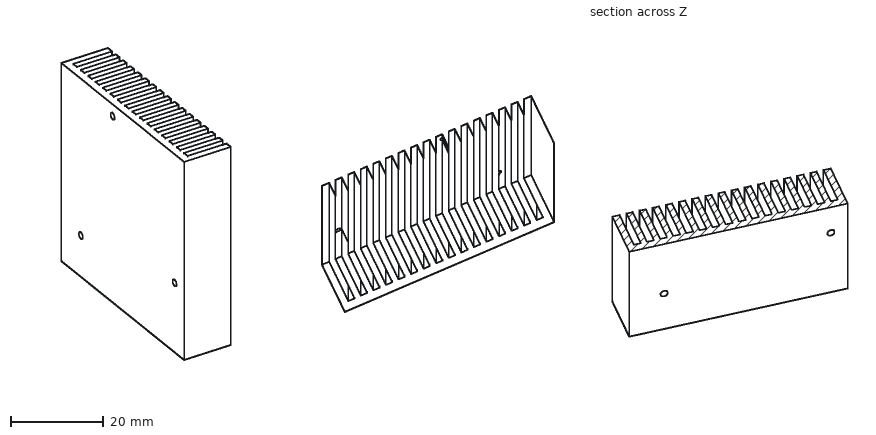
import cadquery as cq

width = 50.0
height = 50.0
depth = 12.0

base_thickness = 2.0
groove_count = 16
groove_width = 1.5
fin_pitch = 3.0

hole_diameter = 1.6
hole_centres = [(-4.1, 22.0), (21.1, -7.45), (-17.0, -14.55)]


def make_block():
    """Solid block with its mounting face at y = 0."""
    return cq.Workplane("XY").box(width, depth, height, centered=(True, False, True))


def make_grooves():
    """Evenly pitched grooves, open at the back and running the full height."""
    groove_depth = depth - base_thickness
    first_x = -fin_pitch * (groove_count - 1) / 2
    centres = [(first_x + i * fin_pitch, base_thickness + groove_depth / 2) for i in range(groove_count)]
    return (
        cq.Workplane("XY")
        .workplane(offset=-height / 2)
        .pushPoints(centres)
        .rect(groove_width, groove_depth)
        .extrude(height)
    )


def make_holes():
    """Cylinders for the screw holes, as deep as the block."""
    return cq.Workplane("XZ").pushPoints(hole_centres).circle(hole_diameter / 2).extrude(-depth)


result = make_block().cut(make_grooves()).cut(make_holes())